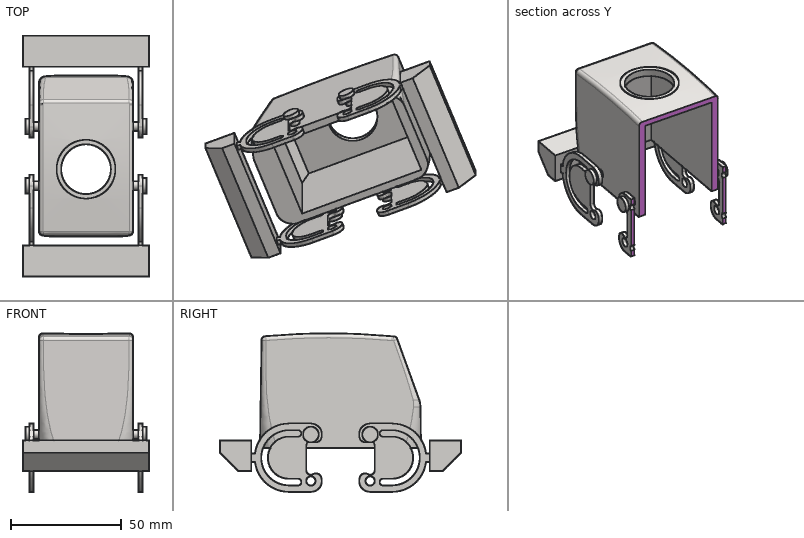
import cadquery as cq
import math

hood_width = 42.7
hood_base_y = 36.5
hood_peak_z = 51.9
draft = 0.015
bend_z = 20.3
slope_run = 0.362
bend_radius = 10.0
crown_center_y = -5.5
crown_half_chord = 31.0
crown_rise = 1.5
top_fillet = 1.9
trim_margin = 5.0
corner_radius_top = 1.95
corner_radius_base = 7.7
corner_law_power = 3.3
front_intervals = 6
back_intervals = 3
bend_intervals = 2

entry_y = -5.9
entry_diameter = 22.4
spotface_diameter = 26.6
spotface_depth = 0.4
wall = 3.5
cavity_back_y = 25.7
cavity_top_z = hood_peak_z - spotface_depth - wall

lever_center_z = -4.4
pivot_y = 13.4
pivot_offset = 10.5
plate_inner_x = 23.65
plate_thickness = 2.0
plate_outer_x = plate_inner_x + plate_thickness
end_radius = 5.0
lever_radius = pivot_offset + end_radius
lever_arc_y = 23.35
nose_radius = 2.5
nose_offset_y = 2.3
notch_radius = 2.0
slot_radius = 11.0
slot_width = 2.9
slot_end_y = 19.2
pin_diameter = 4.1
pin_root_x = 20.0
head_diameter = 7.1
head_outer_x = 27.45

grip_length = 57.0
grip_outer_y = 54.5
grip_inner_y = 40.35
grip_top_z = 3.5
grip_bottom_z = -10.4
grip_bevel = 8.2
tab_height = 4.0
tab_overlap = 2.0


def front_y(z):
    return -(hood_base_y - draft * z)


lower_angle = math.atan(draft)
upper_angle = math.atan(slope_run)
bend_y = hood_base_y - draft * bend_z
bend_tangent = bend_radius * math.tan((upper_angle - lower_angle) / 2)
bend_start_z = bend_z - bend_tangent * math.cos(lower_angle)
bend_end_z = bend_z + bend_tangent * math.cos(upper_angle)
bend_center_y = hood_base_y - draft * bend_start_z - bend_radius * math.cos(lower_angle)
bend_center_z = bend_start_z - bend_radius * math.sin(lower_angle)


def back_y(z):
    """Back face: drafted below the bend, sloped above it, blended by an arc."""
    if z <= bend_start_z:
        return hood_base_y - draft * z
    if z >= bend_end_z:
        return bend_y - slope_run * (z - bend_z)
    return bend_center_y + math.sqrt(bend_radius**2 - (z - bend_center_z) ** 2)


def corner_radius(z):
    fade = max(0.0, 1 - z / hood_peak_z) ** corner_law_power
    return corner_radius_top + (corner_radius_base - corner_radius_top) * fade


def half_section(face_y, z):
    """Rectangle from the mid plane to an end face, rounded at that face, at height z."""
    sketch = cq.Sketch().rect(hood_width, abs(face_y))
    end_vertices = sketch.vertices(">Y" if face_y > 0 else "<Y")
    section = end_vertices.fillet(corner_radius(z)).reset()
    return section.moved(cq.Location(cq.Vector(0, face_y / 2, z)))


def half_segment(face, z_low, z_high, intervals):
    """Loft of half sections between two heights; face gives the end face Y at a height."""
    heights = [z_low + (z_high - z_low) * i / intervals for i in range(intervals + 1)]
    return cq.Workplane().placeSketch(*[half_section(face(z), z) for z in heights]).loft()


def crowned_envelope():
    """Block with an arched top that trims the hood to its crown."""
    shoulder_z = hood_peak_z - crown_rise
    return (
        cq.Workplane("YZ")
        .moveTo(crown_center_y - crown_half_chord, shoulder_z)
        .threePointArc((crown_center_y, hood_peak_z), (crown_center_y + crown_half_chord, shoulder_z))
        .lineTo(hood_base_y + trim_margin, shoulder_z)
        .lineTo(hood_base_y + trim_margin, -trim_margin)
        .lineTo(-hood_base_y - trim_margin, -trim_margin)
        .lineTo(-hood_base_y - trim_margin, shoulder_z)
        .close()
        .extrude(hood_width, both=True)
    )


def make_cavity():
    """Open-bottomed pocket whose back upper corner runs parallel to the sloped back."""
    half_width = hood_width / 2 - wall
    inner_front_y = front_y(cavity_top_z) + wall
    slope_wall_y = wall / math.cos(upper_angle)
    ceiling_back_y = back_y(cavity_top_z) - slope_wall_y
    slope_foot_z = cavity_top_z - (cavity_back_y - ceiling_back_y) / slope_run
    return (
        cq.Workplane("YZ")
        .moveTo(inner_front_y, 0)
        .lineTo(cavity_back_y, 0)
        .lineTo(cavity_back_y, slope_foot_z)
        .lineTo(ceiling_back_y, cavity_top_z)
        .lineTo(inner_front_y, cavity_top_z)
        .close()
        .extrude(half_width, both=True)
    )


def make_cable_entry():
    """Through bore in the roof with a shallow flat ring around it."""
    floor_z = hood_peak_z - spotface_depth
    ring = cq.Workplane(origin=(0, entry_y, floor_z)).circle(spotface_diameter / 2).extrude(trim_margin)
    bore = cq.Workplane(origin=(0, entry_y, cavity_top_z)).circle(entry_diameter / 2).extrude(wall)
    return ring.union(bore)


def make_hood():
    rough_top_z = hood_peak_z + trim_margin
    body = half_segment(front_y, 0, rough_top_z, front_intervals)
    body = body.union(half_segment(back_y, 0, bend_start_z, back_intervals))
    body = body.union(half_segment(back_y, bend_start_z, bend_end_z, bend_intervals))
    body = body.union(half_segment(back_y, bend_end_z, rough_top_z, back_intervals)).clean()
    body = body.intersect(crowned_envelope())
    body = body.faces(">Z").edges().fillet(top_fillet)
    return body.cut(make_cavity()).cut(make_cable_entry())


def plate_outline(plane):
    """Closed lever outline; the lower half is the upper half upside down."""
    nose_y = pivot_y - nose_offset_y
    nose_z = pivot_offset - math.sqrt((end_radius - nose_radius) ** 2 - nose_offset_y**2)
    edge_y = pivot_y + notch_radius
    notch_z = nose_z - math.sqrt((nose_radius + notch_radius) ** 2 - (pivot_y - nose_y) ** 2)
    notch_start = (edge_y, notch_z)
    notch_middle = (pivot_y, notch_z + notch_radius)
    diagonal = math.sin(math.pi / 4)
    nose_share = nose_radius / (nose_radius + notch_radius)
    nose_start = (nose_y + nose_share * (pivot_y - nose_y), nose_z + nose_share * (notch_z - nose_z))
    nose_middle = (nose_y - nose_radius * diagonal, nose_z - nose_radius * diagonal)
    end_share = end_radius / (end_radius - nose_radius)
    end_start = (pivot_y - end_share * nose_offset_y, pivot_offset - end_share * (pivot_offset - nose_z))
    end_middle = (pivot_y - end_radius * diagonal, pivot_offset + end_radius * diagonal)
    end_finish = (pivot_y, lever_radius)

    def flip(point):
        return (point[0], -point[1])

    return (
        plane.moveTo(*flip(notch_start))
        .lineTo(*notch_start)
        .threePointArc(notch_middle, nose_start)
        .threePointArc(nose_middle, end_start)
        .threePointArc(end_middle, end_finish)
        .lineTo(lever_arc_y, lever_radius)
        .threePointArc((lever_arc_y + lever_radius, 0), (lever_arc_y, -lever_radius))
        .lineTo(*flip(end_finish))
        .threePointArc(flip(end_middle), flip(end_start))
        .threePointArc(flip(nose_middle), flip(nose_start))
        .threePointArc(flip(notch_middle), flip(notch_start))
        .close()
    )


def slot_outline(plane):
    """Curved slot of constant width with round ends, following the lever rim."""
    outer = slot_radius + slot_width / 2
    inner = slot_radius - slot_width / 2
    tip_y = slot_end_y - slot_width / 2
    return (
        plane.moveTo(slot_end_y, outer)
        .lineTo(lever_arc_y, outer)
        .threePointArc((lever_arc_y + outer, 0), (lever_arc_y, -outer))
        .lineTo(slot_end_y, -outer)
        .threePointArc((tip_y, -slot_radius), (slot_end_y, -inner))
        .lineTo(lever_arc_y, -inner)
        .threePointArc((lever_arc_y + inner, 0), (lever_arc_y, inner))
        .lineTo(slot_end_y, inner)
        .threePointArc((tip_y, slot_radius), (slot_end_y, outer))
        .close()
    )


def cylinder_along_x(start_x, end_x, diameter, z):
    plane = cq.Workplane("YZ", origin=(start_x, pivot_y, z))
    return plane.circle(diameter / 2).extrude(end_x - start_x)


def make_lever_side():
    """Slotted plate with hook hole, grip tab, pivot pin and pin head on the +X side."""
    plane = cq.Workplane("YZ", origin=(plate_inner_x, 0, lever_center_z))
    plate = plate_outline(plane).extrude(plate_thickness)
    slot = slot_outline(plane).extrude(plate_thickness)
    hole_z = lever_center_z - pivot_offset
    hole = cylinder_along_x(plate_inner_x, plate_outer_x, pin_diameter, hole_z)
    rim_y = lever_arc_y + lever_radius
    tab_length = grip_inner_y - rim_y + tab_overlap
    tab_middle_y = grip_inner_y - tab_length / 2
    tab = plane.center(tab_middle_y, 0).rect(tab_length, tab_height).extrude(plate_thickness)
    pivot_z = lever_center_z + pivot_offset
    pin = cylinder_along_x(pin_root_x, plate_outer_x, pin_diameter, pivot_z)
    head = cylinder_along_x(plate_outer_x, head_outer_x, head_diameter, pivot_z)
    return plate.cut(slot).cut(hole).union(tab).union(pin).union(head)


def make_grip():
    """Bar across the hood with its outer lower edge bevelled."""
    return (
        cq.Workplane("YZ")
        .moveTo(grip_inner_y, grip_bottom_z)
        .lineTo(grip_inner_y, grip_top_z)
        .lineTo(grip_outer_y, grip_top_z)
        .lineTo(grip_outer_y, grip_bottom_z + grip_bevel)
        .lineTo(grip_outer_y - grip_bevel, grip_bottom_z)
        .close()
        .extrude(grip_length / 2, both=True)
    )


def make_lever():
    side = make_lever_side()
    return make_grip().union(side).union(side.mirror("YZ"))


back_lever = make_lever()
front_lever = back_lever.mirror("XZ")
result = make_hood().union(back_lever).union(front_lever)